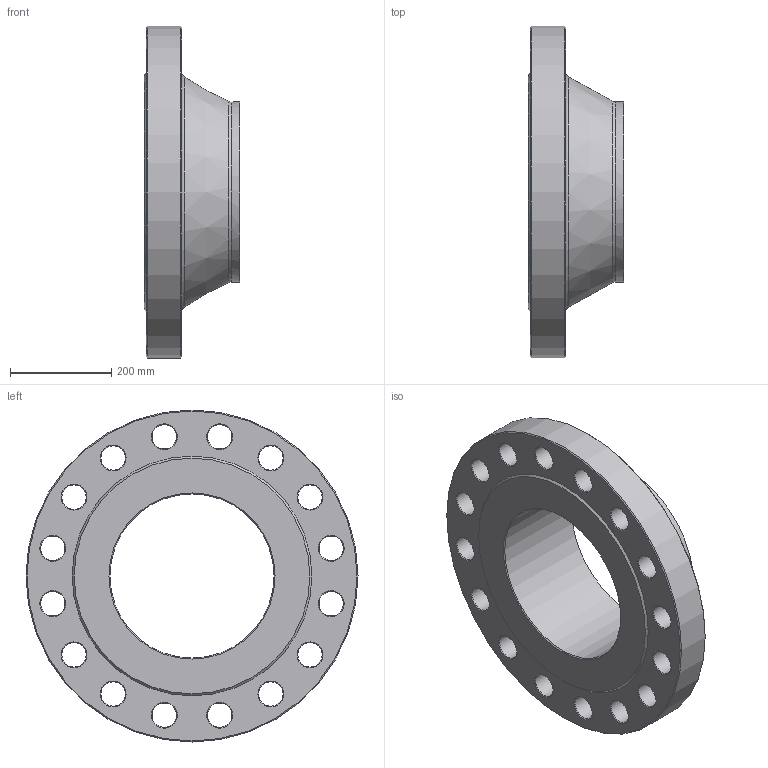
import cadquery as cq
import math

overall_length = 189.0
flange_diameter = 655.0
flange_edge_chamfer = 2.0

face_diameter = 465.0
face_height = 4.0
face_edge_flare = 4.0
flange_back = 74.0

hub_base_diameter = 460.0
hub_base_fillet = 10.0

neck_diameter = 355.6
neck_length = 20.0
neck_fillet = 12.0
bore_diameter = 323.6
bore_chamfer = 2.0

bolt_circle_diameter = 560.0
bolt_hole_diameter = 48.0
bolt_hole_chamfer = 1.5
bolt_count = 16

neck_start = overall_length - neck_length


def make_flange_plate():
    plate = (
        cq.Workplane("YZ", origin=(face_height, 0, 0))
        .circle(flange_diameter / 2)
        .extrude(flange_back - face_height)
    )
    return plate.edges().chamfer(flange_edge_chamfer)


def make_raised_face():
    """Low sealing face with a bevelled rim narrowing toward X = 0."""
    face_radius = face_diameter / 2
    profile = [
        (0, 0),
        (0, face_radius),
        (face_height, face_radius + face_edge_flare),
        (face_height, 0),
    ]
    return cq.Workplane("XY").polyline(profile).close().revolve(360, (0, 0, 0), (1, 0, 0))


def make_hub():
    """Tapered hub running from the flange back to the cylindrical weld neck."""
    profile = [
        (face_height, 0),
        (flange_back, hub_base_diameter / 2),
        (neck_start, neck_diameter / 2),
        (overall_length, neck_diameter / 2),
        (overall_length, 0),
    ]
    return cq.Workplane("XY").polyline(profile).close().revolve(360, (0, 0, 0), (1, 0, 0))


def circles_at(station, diameter):
    """Selector for circular edges about the X axis, at X = station and up to the given diameter."""
    tolerance = 0.1
    reach = diameter / 2 + tolerance
    return cq.selectors.BoxSelector(
        (station - tolerance, -reach, -reach), (station + tolerance, reach, reach), boundingbox=True
    )


def chamfered_hole_tool(diameter, chamfer, start, end):
    """Cutter for a through hole on the X axis with a 45 degree chamfer at its start."""
    radius = diameter / 2
    profile = [
        (start, 0),
        (start, radius + chamfer),
        (start + chamfer, radius),
        (end, radius),
        (end, 0),
    ]
    return cq.Workplane("XY").polyline(profile).close().revolve(360, (0, 0, 0), (1, 0, 0))


def drill_bore(body):
    return body.cut(chamfered_hole_tool(bore_diameter, bore_chamfer, 0, overall_length))


def drill_bolt_holes(body):
    """Bolt holes straddle the Y and Z axes: the first sits half a pitch off the Y axis."""
    pitch_angle = 2 * math.pi / bolt_count
    bolt_circle_radius = bolt_circle_diameter / 2
    tool = chamfered_hole_tool(bolt_hole_diameter, bolt_hole_chamfer, face_height, flange_back)
    for index in range(bolt_count):
        angle = (index + 0.5) * pitch_angle
        y = bolt_circle_radius * math.cos(angle)
        z = bolt_circle_radius * math.sin(angle)
        body = body.cut(tool.translate((0, y, z)))
    return body


body = make_flange_plate().union(make_raised_face()).union(make_hub())
body = body.edges(circles_at(flange_back, hub_base_diameter)).fillet(hub_base_fillet)
body = body.edges(circles_at(neck_start, neck_diameter)).fillet(neck_fillet)
body = drill_bore(body)
result = drill_bolt_holes(body)